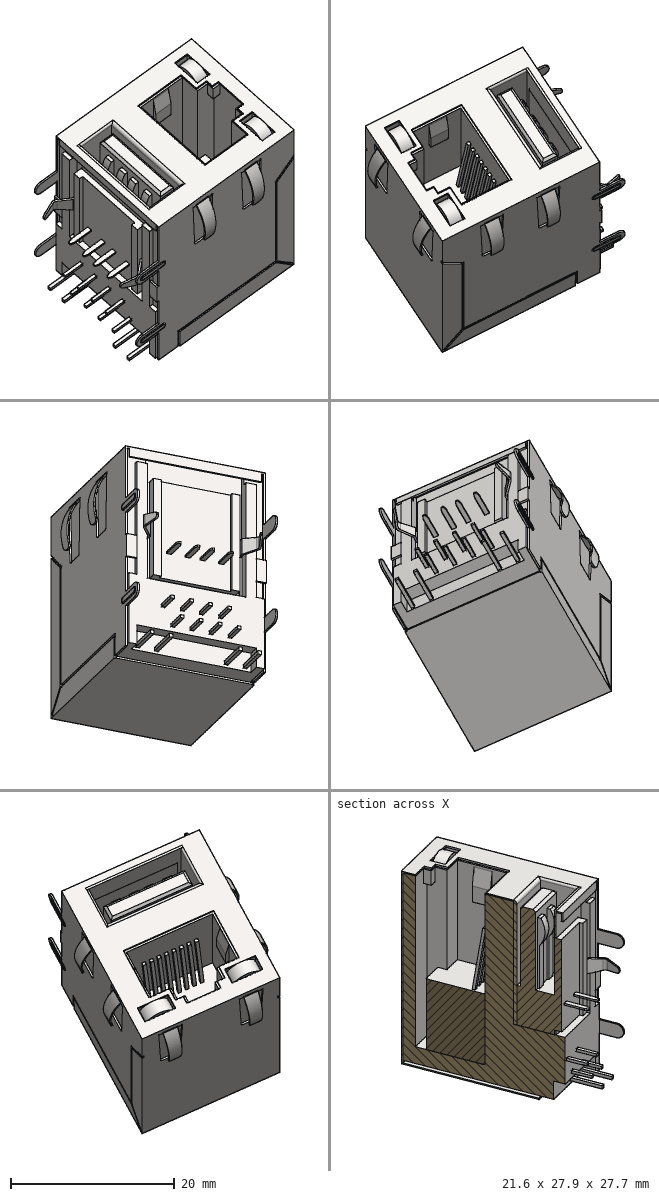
import cadquery as cq
import math


WIDTH = 18.8
DEPTH = 22.3
HEIGHT = 27.32
SHEET = 0.25
INNER_HALF = WIDTH / 2 - SHEET

HOUSING_HALF = 9.1
HOUSING_BOTTOM = 0.55
HOUSING_TOP = HEIGHT - SHEET
BOARD_FACE = -0.3
RELIEF_INNER_X = 8.03
RELIEF_BOTTOM = 10.04
RELIEF_TOP_START = 25.33
LEAD_RECESS_TOP = 3.15
LEAD_RECESS_BACK = 1.3

SOCKET_HALF = 5.87
SOCKET_FRONT = 10.83
SOCKET_SHOULDER = 17.64
KEY_HALF = 3.1
LATCH_HALF = 2.05
LATCH_BACK = 20.35
LATCH_STOP_FRONT = 19.25
LATCH_STOP_HEIGHT = 2.05
SHIELD_MARGIN = 0.27
LATCH_STOP_MARGIN = 0.1
CARRIER_BACK = 18.9
CARRIER_TOP = 13.0
CARRIER_BOTTOM = 3.0
RETAINER_Y = (12.83, 15.33)
RETAINER_TOP = HEIGHT - 0.6
RETAINER_SLOPE_END = HEIGHT - 3.07
RETAINER_BOTTOM = 22.0
RETAINER_PROUD = 0.45

CONTACT_COUNT = 8
CONTACT_PITCH = 1.02
CONTACT_WIDTH = 0.46
CONTACT_REACH = 1.85
CONTACT_TOP = 22.0
CONTACT_THICKNESS = 0.4
PIN_PITCH = 1.28
PIN_WIDTH = 0.45
PIN_HEIGHT = 0.4
PIN_ROWS_Z = (6.45, 4.03)
PIN_TIP = -3.1

LED_X = 5.95
LED_Y = 19.32
WINDOW_LENGTH = 4.15
WINDOW_WIDTH = 2.05
LENS_LENGTH = 4.0
LENS_WIDTH = 1.8
LENS_RADIUS = 2.1
LENS_PROUD = 0.33
LENS_BOTTOM = 24.0
LEAD_SPREAD = 2.54
LEAD_SIZE = 0.47
LEAD_Z = 1.17

USB_HALF = 6.57
USB_FRONT = 0.93
USB_BACK = 6.83
USB_BOTTOM = 9.8
USB_SHEET = 0.3
USB_BACK_SHEET = 0.5
USB_LIP = 0.28
USB_BACK_LIP = 0.48
USB_EDGE_FACE = 0.7
POCKET_HALF = 6.63
USB_FLOOR = 15.4
PLATE_HALF = 5.8
PLATE_BOTTOM = 10.4
PLATE_TOP = 23.47
PLATE_FACE = 0.2
RAIL_WIDTH = 1.05
TONGUE_HALF = 5.55
TONGUE_FRONT = 3.75
TONGUE_BACK = 5.9
TONGUE_TOP = HEIGHT - 0.6
TONGUE_CHAMFER = 0.35
USB_PIN_X = (-3.5, -1.0, 1.0, 3.5)
USB_CONTACT_WIDTH = 1.05
USB_CONTACT_TOP = 25.4
USB_CONTACT_THICKNESS = 0.25
USB_CONTACT_LEDGE = 3.3
USB_CONTACT_CREST = 2.75
USB_CONTACT_BULGE_END = 21.5
USB_PIN_WIDTH = 0.65
USB_PIN_THICKNESS = 0.25
USB_PIN_Z = 14.0
USB_PIN_TAPER = 0.5

HOOK_Z = 16.64
HOOK_SHEET = 0.25
HOOK_BEND = 0.6
HOOK_ROOT = (6.42, 1.08)
HOOK_EXIT = (6.27, -0.1)
HOOK_ELBOW = (7.77, -1.9)
HOOK_TIP = (6.99, -4.2)
HOOK_ROOT_HALF = 1.05
HOOK_ELBOW_HALF = 0.78
HOOK_TIP_HALF = 0.45

SPRING_TOP = 26.24
SPRING_TIP = 19.7
SPRING_CREST_Z = 22.0
SPRING_PROUD = 1.41
SPRING_RADIUS = 6.7
SPRING_SHEET = 0.2
SPRING_HALF_TOP = 1.0
SPRING_HALF_TIP = 0.8
SPRING_TIP_FILLET = 0.6
SLOT_BOTTOM = 18.53
SLOT_HALF_TOP = 1.62
SLOT_HALF_BOTTOM = 1.36
SLOT_CORNER = 0.25
SIDE_SPRINGS_Y = (7.27, 15.25)
REAR_SPRING_X = 5.5

TAB_Z = (6.63, 19.3)
TAB_HALF = 0.97
TAB_TIP = -3.6
TAB_ROOT = 2.0
RIB_Y = (-3.0, 1.1)
RIB_WIDTH = 0.9
RIB_PROUD = 0.12
RIB_CHAMFER = 0.11

FLAP_GAP = 0.3
FLAP_INNER_Y = 19.35
FLAP_INNER_Z = 3.1
FLAP_FRONT_Y = 3.32
FLAP_TOP_Z = 21.9
FLAP_MITER_TOP_Z = 19.3
MITER_END = 0.35
FLANGE_HALF = 8.87
FLANGE_BOTTOM = 26.0
CLIP_Z = (12.26, 15.3)


def block(x0, x1, y0, y1, z0, z1):
    return cq.Workplane("XY").box(x1 - x0, y1 - y0, z1 - z0, centered=False).translate((x0, y0, z0))


def centred_block(half_x, y0, y1, z0, z1):
    return block(-half_x, half_x, y0, y1, z0, z1)


def both_sides(body):
    """The body together with its mirror image on the other side of the width."""
    return body.union(body.mirror("YZ"))


def strip_outline(points, thickness):
    """Corners of a bent strip of constant thickness that follows a centre line."""
    left, right = [], []
    for i, (x, y) in enumerate(points):
        before = points[max(i - 1, 0)]
        after = points[min(i + 1, len(points) - 1)]
        angles = []
        for start, end in ((before, (x, y)), ((x, y), after)):
            if start != end:
                angles.append(math.atan2(end[1] - start[1], end[0] - start[0]))
        normal = (angles[0] + angles[-1]) / 2 + math.pi / 2
        offset = thickness / 2 / math.cos((angles[-1] - angles[0]) / 2)
        dx, dy = offset * math.cos(normal), offset * math.sin(normal)
        left.append((x + dx, y + dy))
        right.append((x - dx, y - dy))
    return left + right[::-1]


def spring_slot():
    """Tapered opening around a spring, for a wall whose outer face is the plane X = 0."""
    outline = [(-SLOT_HALF_TOP, SPRING_TOP), (SLOT_HALF_TOP, SPRING_TOP),
               (SLOT_HALF_BOTTOM, SLOT_BOTTOM), (-SLOT_HALF_BOTTOM, SLOT_BOTTOM)]
    slot = cq.Workplane("YZ").polyline(outline).close().extrude(2 * SHEET, both=True)
    return slot.edges("|X and <Z").fillet(SLOT_CORNER)


def spring():
    """Bowed spring finger hanging from the top of its slot, outside the plane X = 0."""
    axis_x = SPRING_PROUD - SPRING_RADIUS
    bow = (cq.Workplane("XZ").center(axis_x, SPRING_CREST_Z)
           .circle(SPRING_RADIUS).circle(SPRING_RADIUS - SPRING_SHEET)
           .extrude(SPRING_HALF_TOP, both=True))
    root = SPRING_TOP + SHEET
    outline = [(-SPRING_HALF_TOP, root), (SPRING_HALF_TOP, root),
               (SPRING_HALF_TIP, SPRING_TIP), (-SPRING_HALF_TIP, SPRING_TIP)]
    finger = cq.Workplane("YZ").workplane(offset=-SHEET).polyline(outline).close()
    finger = finger.extrude(SHEET + SPRING_PROUD).edges("|X and <Z").fillet(SPRING_TIP_FILLET)
    return finger.intersect(bow)


def spring_places():
    """Turn about Z and position of the wall face for each spring."""
    places = []
    for y in SIDE_SPRINGS_Y:
        places.append((0, (WIDTH / 2, y, 0)))
        places.append((180, (-WIDTH / 2, y, 0)))
    for x in (-REAR_SPRING_X, REAR_SPRING_X):
        places.append((90, (x, DEPTH, 0)))
    return places


def place(body, turn, position):
    return body.rotate((0, 0, 0), (0, 0, 1), turn).translate(position)


def flap_seam():
    """Gap in the side walls between the wall and the flaps folded from the rear and the bottom."""
    path = [(DEPTH + SHEET, FLAP_TOP_Z + SHEET), (FLAP_INNER_Y, FLAP_MITER_TOP_Z),
            (FLAP_INNER_Y, FLAP_INNER_Z), (FLAP_FRONT_Y, FLAP_INNER_Z), (FLAP_FRONT_Y, -SHEET)]
    seam = (cq.Workplane("YZ").polyline(strip_outline(path, FLAP_GAP)).close()
            .extrude(WIDTH, both=True))
    miter = [(FLAP_INNER_Y, FLAP_INNER_Z), (DEPTH - MITER_END, MITER_END)]
    seam = seam.union(cq.Workplane("YZ").polyline(strip_outline(miter, FLAP_GAP)).close()
                      .extrude(WIDTH, both=True))
    return seam.cut(centred_block(INNER_HALF, -DEPTH, 2 * DEPTH, -HEIGHT, 2 * HEIGHT))


def board_tab(z):
    """Round-ended solder tab of the +X wall with an embossed rib."""
    wall = cq.Workplane("YZ").workplane(offset=INNER_HALF)
    tab = (wall.center((TAB_TIP + TAB_ROOT) / 2, z)
           .slot2D(TAB_ROOT - TAB_TIP, 2 * TAB_HALF).extrude(SHEET))
    rib_length = RIB_Y[1] - RIB_Y[0]
    rib = (cq.Workplane("YZ").workplane(offset=WIDTH / 2 - SHEET / 2).center(sum(RIB_Y) / 2, z)
           .slot2D(rib_length, RIB_WIDTH).extrude(SHEET / 2 + RIB_PROUD)
           .faces(">X").chamfer(RIB_CHAMFER))
    return tab.union(rib)


def board_clip():
    """Lug of the +X wall bent inward over the relief of the housing."""
    lug = block(RELIEF_INNER_X, WIDTH / 2, BOARD_FACE, BOARD_FACE + SHEET, *CLIP_Z)
    return lug.union(block(INNER_HALF, WIDTH / 2, BOARD_FACE, SHEET, *CLIP_Z))


def socket_mouth():
    """Stepped opening of the top plate, slightly wider than the RJ45 socket under it."""
    main = centred_block(SOCKET_HALF + SHIELD_MARGIN, SOCKET_FRONT - SHIELD_MARGIN, SOCKET_SHOULDER,
                         HOUSING_TOP, HEIGHT)
    key = centred_block(KEY_HALF + SHIELD_MARGIN, SOCKET_FRONT,
                        LATCH_STOP_FRONT + LATCH_STOP_MARGIN, HOUSING_TOP, HEIGHT)
    latch = centred_block(LATCH_HALF + SHIELD_MARGIN, SOCKET_FRONT, LATCH_BACK, HOUSING_TOP, HEIGHT)
    return main.union(key).union(latch)


def led_window(z0, z1):
    half_length, half_width = WINDOW_LENGTH / 2, WINDOW_WIDTH / 2
    return both_sides(block(LED_X - half_length, LED_X + half_length,
                            LED_Y - half_width, LED_Y + half_width, z0, z1))


def make_shield():
    body = centred_block(WIDTH / 2, 0, DEPTH, 0, HEIGHT)
    body = body.cut(centred_block(INNER_HALF, 0, DEPTH - SHEET, SHEET, HOUSING_TOP))
    body = body.cut(centred_block(WIDTH, 0, FLAP_FRONT_Y, 0, SHEET))
    body = body.cut(flap_seam())

    flange = centred_block(FLANGE_HALF, 0, SHEET, FLANGE_BOTTOM, HEIGHT)
    body = body.union(flange).union(both_sides(board_clip()))
    for z in TAB_Z:
        body = body.union(both_sides(board_tab(z)))

    for turn, position in spring_places():
        body = body.cut(place(spring_slot(), turn, position))
        body = body.union(place(spring(), turn, position))

    usb_mouth = centred_block(USB_HALF, USB_FRONT, USB_BACK, HOUSING_TOP, HEIGHT)
    return body.cut(socket_mouth()).cut(usb_mouth).cut(led_window(HOUSING_TOP, HEIGHT))


def socket_cavity():
    main = centred_block(SOCKET_HALF, SOCKET_FRONT, SOCKET_SHOULDER, CARRIER_BOTTOM, HOUSING_TOP)
    key = centred_block(KEY_HALF, SOCKET_FRONT, LATCH_BACK, CARRIER_BOTTOM, HOUSING_TOP)
    stops = both_sides(block(LATCH_HALF, KEY_HALF, LATCH_STOP_FRONT, LATCH_BACK,
                             HOUSING_TOP - LATCH_STOP_HEIGHT, HOUSING_TOP))
    return main.union(key).cut(stops)


def plug_retainers():
    """Wedges on both side walls of the RJ45 socket."""
    outline = [(SOCKET_HALF, RETAINER_TOP), (SOCKET_HALF - RETAINER_PROUD, RETAINER_SLOPE_END),
               (SOCKET_HALF - RETAINER_PROUD, RETAINER_BOTTOM), (SOCKET_HALF, RETAINER_BOTTOM)]
    wedge = (cq.Workplane("XZ", origin=(0, RETAINER_Y[1], 0)).polyline(outline).close()
             .extrude(RETAINER_Y[1] - RETAINER_Y[0]))
    return both_sides(wedge)


def make_housing(led_bodies, carrier):
    body = centred_block(HOUSING_HALF, BOARD_FACE, DEPTH - SHEET, HOUSING_BOTTOM, HOUSING_TOP)
    body = body.cut(centred_block(WIDTH, BOARD_FACE, SHEET, RELIEF_TOP_START, HOUSING_TOP))
    body = body.cut(both_sides(block(RELIEF_INNER_X, WIDTH, BOARD_FACE, SHEET,
                                     RELIEF_BOTTOM, HOUSING_TOP)))
    body = body.cut(centred_block(RELIEF_INNER_X, BOARD_FACE, LEAD_RECESS_BACK,
                                  HOUSING_BOTTOM, LEAD_RECESS_TOP))
    body = body.cut(centred_block(POCKET_HALF, BOARD_FACE, USB_BACK, USB_BOTTOM, HOUSING_TOP))
    body = body.cut(socket_cavity()).union(plug_retainers())
    body = body.cut(led_window(LENS_BOTTOM, HOUSING_TOP))
    for occupant in (*led_bodies, carrier):
        body = body.cut(occupant)
    return body


def make_contact_carrier():
    """Insert in the bottom of the RJ45 socket with its contacts and two staggered rows of pins."""
    body = centred_block(SOCKET_HALF, SOCKET_FRONT, SOCKET_SHOULDER, CARRIER_BOTTOM, CARRIER_TOP)
    body = body.union(centred_block(KEY_HALF, SOCKET_FRONT, CARRIER_BACK, CARRIER_BOTTOM, CARRIER_TOP))
    foot = SOCKET_FRONT + CONTACT_REACH
    wire = [(SOCKET_FRONT, CONTACT_TOP), (SOCKET_FRONT + CONTACT_THICKNESS, CONTACT_TOP),
            (foot, CARRIER_TOP), (foot - CONTACT_THICKNESS, CARRIER_TOP)]
    middle = (CONTACT_COUNT - 1) / 2
    for i in range(CONTACT_COUNT):
        x = (i - middle) * CONTACT_PITCH
        contact = (cq.Workplane("YZ", origin=(x, 0, 0)).polyline(wire).close()
                   .extrude(CONTACT_WIDTH / 2, both=True))
        pin_x = (i - middle) * PIN_PITCH
        pin_z = PIN_ROWS_Z[i % 2]
        pin = block(pin_x - PIN_WIDTH / 2, pin_x + PIN_WIDTH / 2, PIN_TIP, SOCKET_FRONT,
                    pin_z - PIN_HEIGHT / 2, pin_z + PIN_HEIGHT / 2)
        body = body.union(contact).union(pin)
    return body


def make_led(x):
    """Domed lens with two leads that run down the rear and forward to the board."""
    half_length = LENS_LENGTH / 2
    crest = HEIGHT + LENS_PROUD
    edge = crest - LENS_RADIUS + math.sqrt(LENS_RADIUS ** 2 - half_length ** 2)
    body = (cq.Workplane("XZ", origin=(x, LED_Y, 0)).moveTo(-half_length, LENS_BOTTOM)
            .lineTo(-half_length, edge).threePointArc((0, crest), (half_length, edge))
            .lineTo(half_length, LENS_BOTTOM).close().extrude(LENS_WIDTH / 2, both=True))
    half_lead = LEAD_SIZE / 2
    for lead_x in (x - LEAD_SPREAD / 2, x + LEAD_SPREAD / 2):
        left, right = lead_x - half_lead, lead_x + half_lead
        down = block(left, right, LED_Y - half_lead, LED_Y + half_lead, LEAD_Z - half_lead, LENS_BOTTOM)
        forward = block(left, right, PIN_TIP, LED_Y, LEAD_Z - half_lead, LEAD_Z + half_lead)
        body = body.union(down).union(forward)
    return body


def board_hook():
    """Bent retention hook on the +X side, tapering to a rounded tip."""
    path = [HOOK_ROOT, HOOK_EXIT, HOOK_ELBOW, HOOK_TIP]
    strip = (cq.Workplane("XY", origin=(0, 0, HOOK_Z)).polyline(strip_outline(path, HOOK_SHEET)).close()
             .extrude(HOOK_ROOT_HALF, both=True))
    tip_centre = HOOK_TIP[1] + HOOK_TIP_HALF
    elbow_edges = cq.selectors.BoxSelector(
        (HOOK_ELBOW[0] - HOOK_BEND, HOOK_ELBOW[1] - HOOK_BEND, 0),
        (HOOK_ELBOW[0] + HOOK_BEND, HOOK_ELBOW[1] + HOOK_BEND, HEIGHT))
    strip = strip.edges("|Z").edges(elbow_edges).fillet(HOOK_BEND)
    outline = (cq.Workplane("YZ", origin=(0, 0, HOOK_Z)).moveTo(USB_BACK, HOOK_ROOT_HALF)
               .lineTo(BOARD_FACE, HOOK_ROOT_HALF).lineTo(HOOK_ELBOW[1], HOOK_ELBOW_HALF)
               .lineTo(tip_centre, HOOK_TIP_HALF)
               .threePointArc((HOOK_TIP[1], 0), (tip_centre, -HOOK_TIP_HALF))
               .lineTo(HOOK_ELBOW[1], -HOOK_ELBOW_HALF).lineTo(BOARD_FACE, -HOOK_ROOT_HALF)
               .lineTo(USB_BACK, -HOOK_ROOT_HALF).close().extrude(WIDTH))
    return strip.intersect(outline)


def make_usb_shell():
    body = centred_block(USB_HALF, USB_FRONT, USB_BACK, USB_BOTTOM, HEIGHT)
    body = body.cut(centred_block(USB_HALF - USB_SHEET, USB_FRONT + USB_SHEET, USB_BACK - USB_BACK_SHEET,
                                  USB_BOTTOM, HEIGHT))
    back_rim = cq.selectors.NearestToPointSelector((0, USB_BACK - USB_BACK_SHEET, HEIGHT))
    body = body.edges(back_rim).fillet(USB_BACK_LIP)
    for side in (-1, 1):
        rim_x = side * (USB_HALF - USB_SHEET)
        side_rim = cq.selectors.NearestToPointSelector((rim_x, (USB_FRONT + USB_BACK) / 2, HEIGHT))
        body = body.edges(side_rim).fillet(USB_LIP)
    body = body.cut(centred_block(PLATE_HALF, USB_FRONT, USB_FRONT + USB_SHEET, PLATE_BOTTOM, PLATE_TOP))
    side_edge = block(USB_HALF - USB_SHEET, USB_HALF, USB_EDGE_FACE, USB_FRONT,
                      USB_BOTTOM, HOOK_Z + HOOK_ROOT_HALF)
    return body.union(both_sides(side_edge)).union(both_sides(board_hook()))


def usb_contact(x):
    """Contact strip on the tongue with a bowed upper end."""
    face = TONGUE_FRONT - USB_CONTACT_THICKNESS
    crest_z = (USB_CONTACT_TOP + USB_CONTACT_BULGE_END) / 2
    return (cq.Workplane("YZ", origin=(x, 0, 0)).moveTo(TONGUE_FRONT, USB_FLOOR)
            .lineTo(face, USB_FLOOR).lineTo(face, USB_CONTACT_BULGE_END)
            .threePointArc((USB_CONTACT_CREST, crest_z), (USB_CONTACT_LEDGE, USB_CONTACT_TOP))
            .lineTo(TONGUE_FRONT, USB_CONTACT_TOP).close().extrude(USB_CONTACT_WIDTH / 2, both=True))


def usb_pin(x):
    half = USB_PIN_WIDTH / 2
    outline = [(x - half, PLATE_FACE), (x - half, PIN_TIP + USB_PIN_TAPER), (x - half / 2, PIN_TIP),
               (x + half / 2, PIN_TIP), (x + half, PIN_TIP + USB_PIN_TAPER), (x + half, PLATE_FACE)]
    return (cq.Workplane("XY", origin=(0, 0, USB_PIN_Z)).polyline(outline).close()
            .extrude(USB_PIN_THICKNESS / 2, both=True))


def make_usb_insert():
    """Insulator with tongue, back plate and rails, carrying the USB contacts and pins."""
    inner_face = USB_FRONT + USB_SHEET
    body = centred_block(USB_HALF - USB_SHEET, inner_face, USB_BACK - USB_BACK_SHEET, USB_BOTTOM, USB_FLOOR)
    body = body.union(centred_block(PLATE_HALF, PLATE_FACE, inner_face, PLATE_BOTTOM, PLATE_TOP))
    body = body.union(both_sides(block(PLATE_HALF - RAIL_WIDTH, PLATE_HALF, BOARD_FACE, inner_face,
                                       PLATE_BOTTOM, PLATE_TOP)))
    tongue = centred_block(TONGUE_HALF, TONGUE_FRONT, TONGUE_BACK, USB_FLOOR, TONGUE_TOP)
    body = body.union(tongue.faces(">Z").chamfer(TONGUE_CHAMFER))
    for x in USB_PIN_X:
        body = body.union(usb_contact(x)).union(usb_pin(x))
    return body


shield = make_shield()
leds = [make_led(x) for x in (-LED_X, LED_X)]
contact_carrier = make_contact_carrier()
housing = make_housing(leds, contact_carrier)
usb_shell = make_usb_shell()
usb_insert = make_usb_insert()

result = cq.Compound.makeCompound([
    shield.solids().val(),
    housing.solids().val(),
    contact_carrier.solids().val(),
    usb_shell.solids().val(),
    usb_insert.solids().val(),
    *[led.solids().val() for led in leds],
])